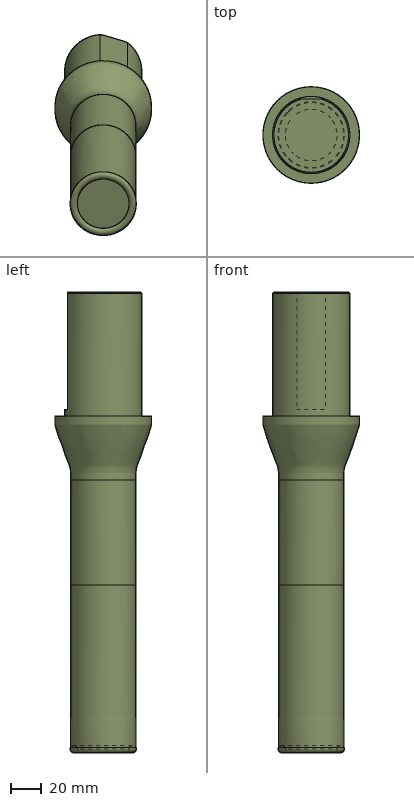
import cadquery as cq

total_length = 298.0
head_taper_bottom = 21.0
head_taper_top = 23.5
relief_bottom = 108.5
relief_top = 176.5
flare_bottom = 181.0
flare_bend = 187.5
collar_bottom = 212.2
collar_top = 217.8

ring_outer_radius = 43.0 / 2
body_radius = 42.3 / 2
flare_bend_radius = 22.5
collar_radius = 62.5 / 2
shank_radius = 50.0 / 2

head_growth = 0.1
relief_depth = 0.1
head_radius = body_radius + head_growth
relief_radius = body_radius - relief_depth

flare_slope = 0.27

ring_section_radius = 2.5
ring_pitch_radius = ring_outer_radius - ring_section_radius
holder_bottom = ring_section_radius

shank_chamfer = 1.0
flat_distance = 23.2
flat_bottom = 222.0


def make_cutting_ring():
    """Torus that stands proud of the holder at the side and at the bottom."""
    return (
        cq.Workplane("XZ")
        .center(ring_pitch_radius, ring_section_radius)
        .circle(ring_section_radius)
        .revolve(360, (-ring_pitch_radius, 0, 0), (-ring_pitch_radius, 1, 0))
    )


def make_turned_blank():
    """Body with a shallow neck relief, flared collar and chamfered shank."""
    return (
        cq.Workplane("XZ")
        .moveTo(0, holder_bottom)
        .lineTo(head_radius, holder_bottom)
        .lineTo(head_radius, head_taper_bottom)
        .lineTo(body_radius, head_taper_top)
        .lineTo(body_radius, relief_bottom)
        .lineTo(relief_radius, relief_bottom)
        .lineTo(relief_radius, relief_top)
        .lineTo(body_radius, relief_top)
        .lineTo(body_radius, flare_bottom)
        .spline(
            [(flare_bend_radius, flare_bend), (collar_radius, collar_bottom)],
            tangents=[(0, 1), (flare_slope, 1)],
            includeCurrent=True,
        )
        .lineTo(collar_radius, collar_top)
        .lineTo(shank_radius, collar_top)
        .lineTo(shank_radius, total_length - shank_chamfer)
        .lineTo(shank_radius - shank_chamfer, total_length)
        .lineTo(0, total_length)
        .close()
        .revolve(360, (0, 0, 0), (0, 1, 0))
    )


def make_flat_cutter():
    """Block that removes the shank beyond the clamping flat."""
    cutter = cq.Workplane("XY").box(
        2 * shank_radius,
        shank_radius,
        total_length - flat_bottom,
        centered=(True, False, False),
    )
    return cutter.translate((0, flat_distance, flat_bottom))


cutting_ring = make_cutting_ring()
holder = make_turned_blank().cut(make_flat_cutter()).cut(cutting_ring)

result = cq.Compound.makeCompound([holder.solids().val(), cutting_ring.val()])